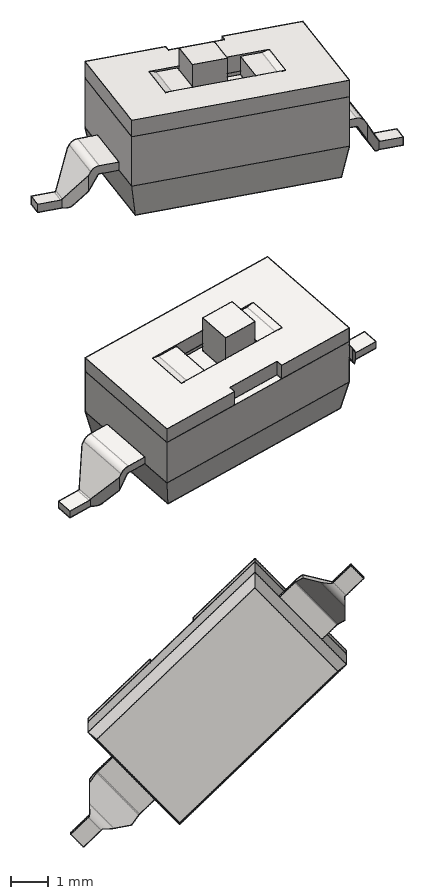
import cadquery as cq
import math

stand_off = 0.16
base_height = 1.0
housing_height = 1.5
cover_height = 0.5
knob_rise = 0.61
base_bottom = stand_off
base_top = base_bottom + base_height
housing_top = base_top + housing_height
cover_top = housing_top + cover_height
knob_top = cover_top + knob_rise

body_width = 3.48
body_length = 6.2
base_taper = 0.17

notch_depth = 0.2
notch_length = 1.6

slot_width = 1.23
slot_length = 3.42
ramp_length = 0.21
dish_depth = 0.05
opening_length = 1.79
opening_depth = 0.6
opening_floor = cover_top - opening_depth

knob_width = 0.98
knob_length = 1.0

overall_length = 10.4
lead_width = 1.6
lead_thickness = 0.25
shoulder_length = 0.56
upper_inner_radius = 0.036
lower_inner_radius = 0.05
bend_angle = math.radians(59)
tip_width = 0.49
taper_start = 3.96
taper_end = 4.5


def make_base():
    """Base that narrows downward on all four sides."""
    return (
        cq.Workplane("XY", origin=(0, 0, base_bottom))
        .rect(body_width - 2 * base_taper, body_length - 2 * base_taper)
        .workplane(offset=base_height)
        .rect(body_width, body_length)
        .loft(ruled=True)
    )


def make_housing():
    """Block between the base and the cover, with an upstand that fills the cover slot.

    The upstand has a shallow dish in its top and the slider opening through its middle.
    """
    block = cq.Workplane("XY", origin=(0, 0, base_top)).box(
        body_width, body_length, housing_height, centered=(True, True, False)
    )
    half_length = slot_length / 2
    dish_floor_half_length = half_length - ramp_length
    dish_floor = cover_top - dish_depth
    upstand = (
        cq.Workplane("YZ")
        .polyline([
            (-half_length, housing_top),
            (-half_length, cover_top),
            (-dish_floor_half_length, dish_floor),
            (dish_floor_half_length, dish_floor),
            (half_length, cover_top),
            (half_length, housing_top),
        ])
        .close()
        .extrude(slot_width / 2, both=True)
    )
    opening = cq.Workplane("XY", origin=(0, 0, opening_floor)).box(
        slot_width, opening_length, cover_top - opening_floor, centered=(True, True, False)
    )
    return block.union(upstand).cut(opening)


def make_cover():
    """Cover plate with the slot for the housing upstand and the marker notch."""
    plate = cq.Workplane("XY", origin=(0, 0, housing_top)).box(
        body_width, body_length, cover_height, centered=(True, True, False)
    )
    slot = cq.Workplane("XY", origin=(0, 0, housing_top)).box(
        slot_width, slot_length, cover_height, centered=(True, True, False)
    )
    notch = cq.Workplane("XY", origin=(-body_width / 2, 0, housing_top)).box(
        2 * notch_depth, notch_length, cover_height, centered=(True, True, False)
    )
    return plate.cut(slot).cut(notch)


def make_slider():
    """Block-shaped knob standing on the opening floor, against its -Y end wall."""
    knob_center_y = (knob_length - opening_length) / 2
    return cq.Workplane("XY", origin=(0, knob_center_y, opening_floor)).box(
        knob_width, knob_length, knob_top - opening_floor, centered=(True, True, False)
    )


def make_lead():
    """Gull-wing lead on the +Y end: bent strip trimmed to a narrow tip."""
    root_y = body_length / 2
    tip_y = overall_length / 2
    strip_top = base_top + lead_thickness
    upper_outer_radius = upper_inner_radius + lead_thickness
    lower_outer_radius = lower_inner_radius + lead_thickness
    bend_sin = math.sin(bend_angle)
    bend_cos = math.cos(bend_angle)

    radius_sum = upper_inner_radius + lower_outer_radius
    leg_length = (base_top - radius_sum * (1 - bend_cos)) / bend_sin
    upper_y = root_y + shoulder_length
    upper_z = base_top - upper_inner_radius
    lower_y = upper_y + radius_sum * bend_sin + leg_length * bend_cos
    lower_z = lower_outer_radius

    def upper_bend_point(radius, angle):
        return (upper_y + radius * math.sin(angle), upper_z + radius * math.cos(angle))

    def lower_bend_point(radius, angle):
        return (lower_y - radius * math.sin(angle), lower_z - radius * math.cos(angle))

    half_angle = bend_angle / 2
    strip = (
        cq.Workplane("YZ")
        .moveTo(root_y, strip_top)
        .lineTo(upper_y, strip_top)
        .threePointArc(
            upper_bend_point(upper_outer_radius, half_angle),
            upper_bend_point(upper_outer_radius, bend_angle),
        )
        .lineTo(*lower_bend_point(lower_inner_radius, bend_angle))
        .threePointArc(
            lower_bend_point(lower_inner_radius, half_angle),
            lower_bend_point(lower_inner_radius, 0),
        )
        .lineTo(tip_y, lead_thickness)
        .lineTo(tip_y, 0)
        .lineTo(*lower_bend_point(lower_outer_radius, 0))
        .threePointArc(
            lower_bend_point(lower_outer_radius, half_angle),
            lower_bend_point(lower_outer_radius, bend_angle),
        )
        .lineTo(*upper_bend_point(upper_inner_radius, bend_angle))
        .threePointArc(
            upper_bend_point(upper_inner_radius, half_angle),
            upper_bend_point(upper_inner_radius, 0),
        )
        .lineTo(root_y, base_top)
        .close()
        .extrude(lead_width / 2, both=True)
    )
    plan_outline = (
        cq.Workplane("XY")
        .polyline([
            (-lead_width / 2, root_y),
            (-lead_width / 2, taper_start),
            (-tip_width / 2, taper_end),
            (-tip_width / 2, tip_y),
            (tip_width / 2, tip_y),
            (tip_width / 2, taper_end),
            (lead_width / 2, taper_start),
            (lead_width / 2, root_y),
        ])
        .close()
        .extrude(strip_top)
    )
    return strip.intersect(plan_outline)


base = make_base()
housing = make_housing()
cover = make_cover()
slider = make_slider()
leads = [make_lead().rotate((0, 0, 0), (0, 0, 1), turn) for turn in (0, 180)]

result = cq.Compound.makeCompound([
    base.val(),
    housing.val(),
    cover.val(),
    slider.val(),
    *[lead.val() for lead in leads],
])